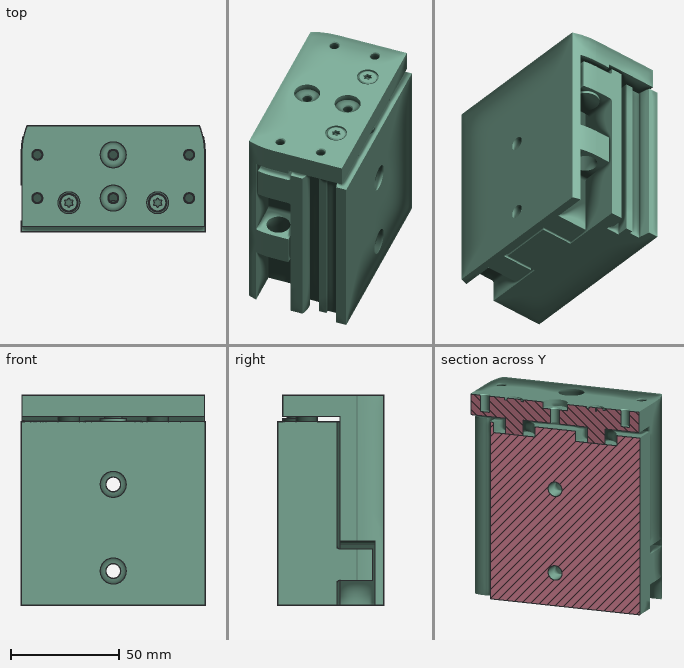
import cadquery as cq
import math

HEIGHT = 97.0
DEPTH = 49.0
HOUSING_WIDTH = 85.0
CARRIAGE_WIDTH = 84.2
HALF_HOUSING = HOUSING_WIDTH / 2
HALF_CARRIAGE = CARRIAGE_WIDTH / 2

CROWN_START_Y = 36.6
CROWN_INSET = 2.3
CROWN_LENGTH = DEPTH - CROWN_START_Y
CROWN_RADIUS = (CROWN_LENGTH**2 + CROWN_INSET**2) / (2 * CROWN_INSET)
CROWN_CENTER_X = HALF_CARRIAGE - CROWN_RADIUS
SIDE_OVERHANG = HALF_HOUSING - HALF_CARRIAGE

TOP_PLATE_FRONT_Y = 2.3
TOP_PLATE_BOTTOM_Z = 87.0
CARRIAGE_FRONT_Y = 28.7
BACK_PLATE_Y = 45.0
POCKET_TOP_Z = 85.1
POCKET_FILLET = 1.6
POCKET_WALL_X = 25.1
CHANNEL_HALF_WIDTH = 14.0
STOP_TOP_Z = 43.9
STOP_BOTTOM_Z = 29.6
STOP_HOLE_DIAMETER = 11.0

HOUSING_TOP_Z = 84.7
HOUSING_BACK_Y = 27.45
CLEARANCE = 1.2
LUG_BACK_Y = BACK_PLATE_Y - CLEARANCE
LUG_TOP_Z = 81.5
LUG_BOTTOM_Z = 67.0
LUG_HEIGHT = LUG_TOP_Z - LUG_BOTTOM_Z
LUG_HEADROOM = POCKET_TOP_Z - LUG_TOP_Z
LUG_FILLET = 1.3
LUG_INNER_X = POCKET_WALL_X + CLEARANCE
STOP_AXIS_X = -(HALF_HOUSING + LUG_INNER_X) / 2
BUMPER_DIAMETER = 13.0
BUMPER_HEIGHT = 1.2

SLAB_BACK_Y = 4.9
RIB_FRONT_Y = 11.4
RIB_BACK_Y = 15.0
RIB_SETBACK = 4.4
GROOVE_EDGE_Y = 21.6
GROOVE_TAPER = 1.2
TAPER_DEPTH = 4.85
LIP_DEPTH = 6.8
UNDERCUT_DEPTH = 9.0
UNDERCUT_Y = 21.8
FRONT_GROOVE_DEPTH = 6.0
REAR_GROOVE_DEPTH = 10.2

HOLE_PITCH = 40.0
LOWER_HOLE_Z = 15.8
THROUGH_DIAMETER = 6.7
RECESS_DIAMETER = 12.0
RECESS_DEPTH = 3.0

TAP_DIAMETER = 4.2
TAP_MOUTH_DIAMETER = 5.0
TAP_CHAMFER = (TAP_MOUTH_DIAMETER - TAP_DIAMETER) / 2
TAP_FRONT_Y = 15.5
TAP_PITCH_Y = 20.0
TAP_OFFSET_X = 35.0
CORNER_TAP_DEPTH = 7.8
TAP_ROWS_Y = (TAP_FRONT_Y, TAP_FRONT_Y + TAP_PITCH_Y)

ROD_OFFSET_X = 20.5
ROD_Y = 13.4
ROD_DIAMETER = 10.0
ROD_RECESS_DIAMETER = 21.0
ROD_RECESS_DEPTH = 4.85
ROD_RECESS_FLOOR_Z = HOUSING_TOP_Z - ROD_RECESS_DEPTH
SCREW_RECESS_DIAMETER = 10.1
SCREW_HEAD_DIAMETER = 8.5
SCREW_RECESS_DEPTH = 1.0
SCREW_HEAD_CHAMFER = 0.5
STAR_OUTER_RADIUS = 2.2
STAR_INNER_RADIUS = 1.6
STAR_DEPTH = 1.9
STAR_LOBES = 6
PISTON_Y = 8.3
PISTON_DIAMETER = 8.0
COLLAR_DIAMETER = 12.0
COLLAR_TOP_Z = 86.1


def block(x_min, x_max, y_min, y_max, z_min, z_max):
    """Box between two opposite corners."""
    size = (x_max - x_min, y_max - y_min, z_max - z_min)
    return cq.Workplane("XY").box(*size, centered=False).translate((x_min, y_min, z_min))


def upright_cylinder(x, y, diameter, z_min, z_max):
    """Cylinder along Z."""
    base = cq.Workplane("XY", origin=(x, y, z_min))
    return base.circle(diameter / 2).extrude(z_max - z_min)


def crowned_prism(overhang, front_y, back_y, z_min, z_max):
    """Prism with the crowned side outline, grown sideways by the overhang."""
    radius = CROWN_RADIUS + overhang
    end_angle = math.asin((back_y - CROWN_START_Y) / radius)

    def crown_point(angle):
        return (CROWN_CENTER_X + radius * math.cos(angle), CROWN_START_Y + radius * math.sin(angle))

    def mirrored(point):
        return (-point[0], point[1])

    flank_x = HALF_CARRIAGE + overhang
    middle = crown_point(end_angle / 2)
    end = crown_point(end_angle)
    outline = (
        cq.Workplane("XY", origin=(0, 0, z_min))
        .moveTo(-flank_x, front_y)
        .lineTo(flank_x, front_y)
        .lineTo(flank_x, CROWN_START_Y)
        .threePointArc(middle, end)
        .lineTo(*mirrored(end))
        .threePointArc(mirrored(middle), (-flank_x, CROWN_START_Y))
        .close()
    )
    return outline.extrude(z_max - z_min)


def mounting_holes():
    """Pair of through holes along Y with round recesses at the front."""
    centers = [(0, LOWER_HOLE_Z), (0, LOWER_HOLE_Z + HOLE_PITCH)]
    front = cq.Workplane("XZ").pushPoints(centers)
    holes = front.circle(THROUGH_DIAMETER / 2).extrude(-DEPTH)
    recesses = front.circle(RECESS_DIAMETER / 2).extrude(-RECESS_DEPTH)
    return holes.union(recesses)


def tapped_hole(x, y, z_min, z_mouth):
    """Cutter for a vertical tapped hole with a chamfered mouth."""
    hole = upright_cylinder(x, y, TAP_DIAMETER, z_min, z_mouth)
    mouth = cq.Solid.makeCone(
        TAP_MOUTH_DIAMETER / 2,
        TAP_DIAMETER / 2,
        TAP_CHAMFER,
        pnt=cq.Vector(x, y, z_mouth),
        dir=cq.Vector(0, 0, -1),
    )
    return hole.union(cq.Workplane(mouth))


def screw_recess(x):
    """Cutter around a guide-rod screw head, with its star socket."""
    floor_z = HEIGHT - SCREW_RECESS_DEPTH
    recess = upright_cylinder(x, ROD_Y, SCREW_RECESS_DIAMETER, floor_z, HEIGHT)
    head = upright_cylinder(x, ROD_Y, SCREW_HEAD_DIAMETER, floor_z, HEIGHT)
    head = head.faces(">Z").chamfer(SCREW_HEAD_CHAMFER)
    star = []
    for index in range(2 * STAR_LOBES):
        radius = STAR_INNER_RADIUS if index % 2 else STAR_OUTER_RADIUS
        angle = math.pi / 2 + index * math.pi / STAR_LOBES
        star.append((radius * math.cos(angle), radius * math.sin(angle)))
    socket = cq.Workplane("XY", origin=(x, ROD_Y, HEIGHT)).polyline(star).close().extrude(-STAR_DEPTH)
    return recess.cut(head).union(socket)


def carriage_pockets():
    """Side pockets and middle channel between the back plate and the front face."""
    y_range = (CARRIAGE_FRONT_Y, BACK_PLATE_Y)
    upper_left = block(-HALF_HOUSING, -POCKET_WALL_X, *y_range, STOP_TOP_Z, POCKET_TOP_Z)
    upper_left = upper_left.edges("|Y and >X").fillet(POCKET_FILLET)
    lower_left = block(-HALF_HOUSING, -POCKET_WALL_X, *y_range, 0, STOP_BOTTOM_Z)
    lower_left = lower_left.edges("|Y and >X and >Z").fillet(POCKET_FILLET)
    lower_right = lower_left.mirror("YZ")
    channel = block(-CHANNEL_HALF_WIDTH, CHANNEL_HALF_WIDTH, *y_range, 0, POCKET_TOP_Z)
    channel = channel.edges("|Y and >Z").fillet(POCKET_FILLET)
    return upper_left.union(lower_left).union(lower_right).union(channel)


def make_carriage():
    """Moving carriage: top plate, back plate, stop block and rods."""
    body = crowned_prism(0, TOP_PLATE_FRONT_Y, DEPTH, 0, HEIGHT)
    body = body.cut(
        block(-HALF_HOUSING, HALF_HOUSING, 0, CARRIAGE_FRONT_Y, 0, TOP_PLATE_BOTTOM_Z)
    )
    body = body.cut(carriage_pockets())
    body = body.cut(
        upright_cylinder(STOP_AXIS_X, CROWN_START_Y, STOP_HOLE_DIAMETER, STOP_BOTTOM_Z, STOP_TOP_Z)
    )
    body = body.cut(mounting_holes())

    for side in (-1, 1):
        rod_x = side * ROD_OFFSET_X
        body = body.union(
            upright_cylinder(rod_x, ROD_Y, ROD_DIAMETER, ROD_RECESS_FLOOR_Z, TOP_PLATE_BOTTOM_Z)
        )
        body = body.cut(screw_recess(rod_x))
    body = body.union(
        upright_cylinder(0, PISTON_Y, PISTON_DIAMETER, COLLAR_TOP_Z, TOP_PLATE_BOTTOM_Z)
    )

    recess_floor_z = HEIGHT - RECESS_DEPTH
    for y in TAP_ROWS_Y:
        body = body.cut(upright_cylinder(0, y, RECESS_DIAMETER, recess_floor_z, HEIGHT))
        body = body.cut(tapped_hole(0, y, POCKET_TOP_Z, recess_floor_z))
        for x in (-TAP_OFFSET_X, TAP_OFFSET_X):
            body = body.cut(tapped_hole(x, y, HEIGHT - CORNER_TAP_DEPTH, HEIGHT))
    return body


def sensor_grooves():
    """Cutter for the two grooves in the left flank and the setback of the rib between them."""
    front_taper_y = SLAB_BACK_Y + GROOVE_TAPER
    lip_y = GROOVE_EDGE_Y - GROOVE_TAPER
    flare_radius = (TAPER_DEPTH**2 + GROOVE_TAPER**2) / (2 * GROOVE_TAPER)
    outline = (
        cq.Workplane("XY", origin=(-HALF_HOUSING, 0, 0))
        .moveTo(0, SLAB_BACK_Y)
        .lineTo(TAPER_DEPTH, front_taper_y)
        .lineTo(FRONT_GROOVE_DEPTH, front_taper_y)
        .lineTo(FRONT_GROOVE_DEPTH, RIB_FRONT_Y)
        .lineTo(RIB_SETBACK, RIB_FRONT_Y)
        .lineTo(RIB_SETBACK, RIB_BACK_Y)
        .lineTo(REAR_GROOVE_DEPTH, RIB_BACK_Y)
        .lineTo(REAR_GROOVE_DEPTH, UNDERCUT_Y)
        .lineTo(UNDERCUT_DEPTH, UNDERCUT_Y)
        .lineTo(LIP_DEPTH, lip_y)
        .lineTo(TAPER_DEPTH, lip_y)
        .radiusArc((0, GROOVE_EDGE_Y), flare_radius)
        .close()
    )
    return outline.extrude(HOUSING_TOP_Z)


def left_lug(z_min):
    """Stop lug behind the left flank, blended into the back face above and below."""
    z_max = z_min + LUG_HEIGHT
    lug = crowned_prism(SIDE_OVERHANG, HOUSING_BACK_Y, LUG_BACK_Y, z_min, z_max)
    lug = lug.cut(block(-LUG_INNER_X, HOUSING_WIDTH, 0, DEPTH, z_min, z_max))
    flare_y = HOUSING_BACK_Y + LUG_FILLET
    flare = (
        cq.Workplane("YZ", origin=(-HALF_HOUSING, 0, 0))
        .moveTo(HOUSING_BACK_Y, z_min - LUG_FILLET)
        .radiusArc((flare_y, z_min), LUG_FILLET)
        .lineTo(flare_y, z_max)
        .radiusArc((HOUSING_BACK_Y, z_max + LUG_FILLET), LUG_FILLET)
        .close()
        .extrude(HALF_HOUSING - LUG_INNER_X)
    )
    return lug.union(flare)


def make_housing():
    """Fixed housing with sensor grooves, guide ridge, stop lugs and piston collar."""
    body = block(-HALF_HOUSING, HALF_HOUSING, 0, HOUSING_BACK_Y, 0, HOUSING_TOP_Z)
    body = body.cut(sensor_grooves())
    ridge_half_width = CHANNEL_HALF_WIDTH - CLEARANCE
    body = body.union(
        block(-ridge_half_width, ridge_half_width, HOUSING_BACK_Y, LUG_BACK_Y, 0, HOUSING_TOP_Z)
    )
    body = body.union(left_lug(LUG_BOTTOM_Z))
    body = body.union(left_lug(STOP_BOTTOM_Z - LUG_HEADROOM - LUG_HEIGHT).mirror("YZ"))
    body = body.union(
        upright_cylinder(
            STOP_AXIS_X, CROWN_START_Y, BUMPER_DIAMETER, LUG_BOTTOM_Z - BUMPER_HEIGHT, LUG_BOTTOM_Z
        )
    )
    for rod_x in (-ROD_OFFSET_X, ROD_OFFSET_X):
        body = body.cut(
            upright_cylinder(rod_x, ROD_Y, ROD_RECESS_DIAMETER, ROD_RECESS_FLOOR_Z, HOUSING_TOP_Z)
        )
    body = body.union(upright_cylinder(0, PISTON_Y, COLLAR_DIAMETER, HOUSING_TOP_Z, COLLAR_TOP_Z))
    return body.cut(mounting_holes())


housing = make_housing()
carriage = make_carriage()
result = cq.Compound.makeCompound([housing.val(), carriage.val()])